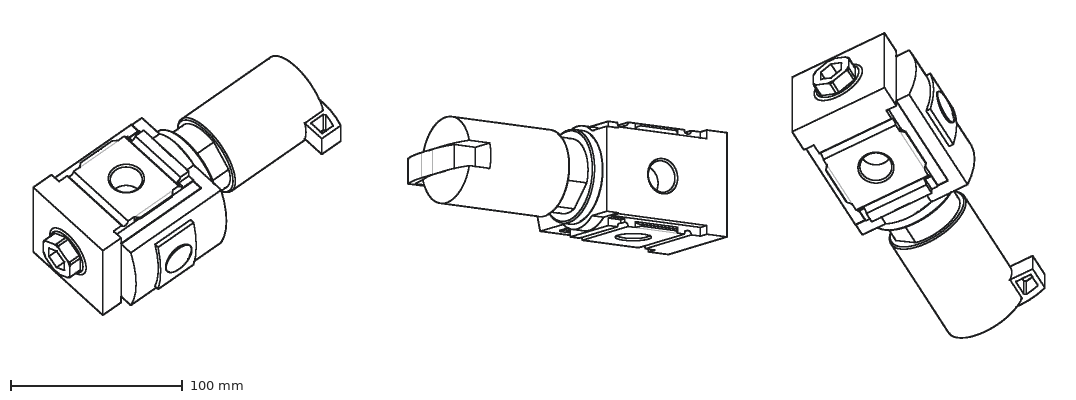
import cadquery as cq
import math


block_width = 61.6
block_height = 62.0
half_width = block_width / 2
half_height = block_height / 2
shelf_start_y = 14.1
pad_end_y = 76.0
rear_y = 84.0
port_y = 45.0
pad_half_width = 24.1
shelf_z = 25.8
plate_z = 25.3

port_diameter = 18.7
port_mouth_diameter = 21.0
port_chamfer = (port_mouth_diameter - port_diameter) / 2
port_depth = 18.8

groove_diameter = 4.7
groove_radius = groove_diameter / 2
groove_offset_y = 22.0
notch_width = 4.1
notch_floor_z = 26.5
lug_reach = 2.5
lug_root_length = 29.8
lug_tip_length = 24.5
lug_bottom_z = 27.5
lug_bend_z = 28.7
lug_tip_bottom_z = 29.2
lug_tip_top_z = 30.3

overall_width = 77.5
cover_edge_x = 39.4
cover_crown_x = 44.1
button_height = 40.3
button_length = 27.5
button_edge_x = 44.0
button_crown_x = 46.2
gauge_disc_diameter = 20.0
gauge_disc_x = overall_width - half_width

boss_width = 30.3
boss_crown_z = 30.5
collar_diameter = 55.0
collar_end_y = 91.5
collar_chamfer = 1.0
neck_diameter = 44.1
neck_flat_distance = 20.0
neck_flat_angle = 45.0

knob_diameter = 51.0
knob_radius = knob_diameter / 2
knob_start_y = 106.1
knob_chamfer = 1.0
knob_edge_y = 176.0
knob_crown_y = 179.6
crown_flat_diameter = 11.5
crown_flat_radius = crown_flat_diameter / 2
crown_run = knob_radius - crown_flat_radius
crown_drop = knob_crown_y - knob_edge_y
crown_radius = (crown_run**2 + crown_drop**2) / (2 * crown_drop)

slide_thickness = 15.0
slide_start_y = 161.7
slide_half_length = math.sqrt(knob_radius**2 - (slide_thickness / 2) ** 2)
slide_travel = 15.0
window_left_wall = 2.3
window_bottom_y = 164.5
window_roof = 4.1
window_right_wall = 2.8
window_corner_chamfer = 1.1

overall_length = 188.5
plug_front_y = knob_crown_y - overall_length
washer_base_diameter = 32.0
washer_top_diameter = 28.3
washer_height = 0.8
hex_flats = 23.5
hex_rounding_diameter = 26.2
hex_end_chamfer = 0.5
socket_flats = 13.5
socket_depth = 8.0


def box_between(x_range, y_range, z_range):
    """Box spanning the given (low, high) pairs."""
    sizes = [high - low for low, high in (x_range, y_range, z_range)]
    corner = (x_range[0], y_range[0], z_range[0])
    return cq.Workplane("XY").box(*sizes, centered=False).translate(corner)


def axial_plane(y):
    """Workplane normal to +Y at the given Y, with its local axes along X and -Z."""
    return cq.Workplane(cq.Plane(origin=(0, y, 0), xDir=(1, 0, 0), normal=(0, 1, 0)))


def axial_cylinder(diameter, y_start, y_end):
    return axial_plane(y_start).circle(diameter / 2).extrude(y_end - y_start)


def axial_hexagon(flats, y_start, y_end):
    """Hexagonal prism along Y with two flats facing -X and +X."""
    corners = flats / math.cos(math.radians(30))
    prism = axial_plane(y_start).polygon(6, corners).extrude(y_end - y_start)
    return prism.rotate((0, 0, 0), (0, 1, 0), 30)


def top_and_bottom(shape):
    return [shape, shape.mirror("XY")]


def crowned_bar(height, base_x, edge_x, crown_x, y_start, y_end):
    """Bar along Y standing out from base_x towards +X, with an arched outer face."""
    half = height / 2
    return (
        axial_plane(y_start)
        .moveTo(base_x, -half)
        .lineTo(edge_x, -half)
        .threePointArc((crown_x, 0), (edge_x, half))
        .lineTo(base_x, half)
        .close()
        .extrude(y_end - y_start)
    )


def make_lug():
    """Lug on the +X flank of the upper pad, with a hollow underside and tapered in plan."""
    root_x = pad_half_width
    tip_x = root_x + lug_reach
    profile = (
        cq.Workplane("XZ", origin=(0, port_y, 0))
        .moveTo(root_x, lug_bottom_z)
        .threePointArc((root_x + lug_reach / 3, lug_bend_z), (tip_x, lug_tip_bottom_z))
        .lineTo(tip_x, lug_tip_top_z)
        .lineTo(root_x, half_height)
        .close()
        .extrude(lug_root_length / 2, both=True)
    )
    plan = (
        cq.Workplane("XY")
        .polyline(
            [
                (root_x, port_y - lug_root_length / 2),
                (tip_x, port_y - lug_tip_length / 2),
                (tip_x, port_y + lug_tip_length / 2),
                (root_x, port_y + lug_root_length / 2),
            ]
        )
        .close()
        .extrude(half_height)
    )
    return profile.intersect(plan)


def make_block():
    full_x = (-half_width, half_width)
    full_z = (-half_height, half_height)
    pad = (-pad_half_width, pad_half_width)
    block = box_between(full_x, (0, shelf_start_y), full_z)
    block = block.union(box_between(full_x, (shelf_start_y, pad_end_y), (-shelf_z, shelf_z)))
    block = block.union(box_between(pad, (shelf_start_y, pad_end_y), full_z))
    block = block.union(box_between(full_x, (pad_end_y, rear_y), (-plate_z, plate_z)))

    groove_y = [port_y - groove_offset_y, port_y + groove_offset_y]
    for y in groove_y:
        groove = (
            cq.Workplane("YZ", origin=(-pad_half_width, y, half_height))
            .circle(groove_radius)
            .extrude(2 * pad_half_width)
        )
        for cutter in top_and_bottom(groove):
            block = block.cut(cutter)

    notch = box_between(
        (pad_half_width - notch_width, pad_half_width),
        (groove_y[1], pad_end_y),
        (notch_floor_z, half_height),
    )
    lug = make_lug()
    for side_notch in (notch, notch.mirror("YZ")):
        for cutter in top_and_bottom(side_notch):
            block = block.cut(cutter)
    for side_lug in (lug, lug.mirror("YZ")):
        for addition in top_and_bottom(side_lug):
            block = block.union(addition)
    return block


def make_port(face_height):
    """Cutter for a blind port with a chamfered mouth at Z = face_height."""
    bore_radius = port_diameter / 2
    return (
        cq.Workplane("XZ")
        .polyline(
            [
                (0, face_height),
                (bore_radius + port_chamfer, face_height),
                (bore_radius, face_height - port_chamfer),
                (bore_radius, face_height - port_depth),
                (0, face_height - port_depth),
            ]
        )
        .close()
        .revolve(360, (0, 0), (0, 1))
        .translate((0, port_y, 0))
    )


def cut_ports(block):
    """Ports on the top, -X and bottom faces."""
    for cutter in top_and_bottom(make_port(half_height)):
        block = block.cut(cutter)
    return block.cut(make_port(half_width).rotate((0, 0, 0), (0, 1, 0), -90))


def make_side_cover():
    cover = crowned_bar(2 * plate_z, half_width, cover_edge_x, cover_crown_x, shelf_start_y, rear_y)
    button = crowned_bar(
        button_height,
        half_width,
        button_edge_x,
        button_crown_x,
        port_y - button_length / 2,
        port_y + button_length / 2,
    )
    disc = (
        cq.Workplane("YZ", origin=(half_width, port_y, 0))
        .circle(gauge_disc_diameter / 2)
        .extrude(gauge_disc_x - half_width)
    )
    return cover.union(button).union(disc)


def make_collar_and_neck():
    boss_half = boss_width / 2
    boss = (
        axial_plane(pad_end_y)
        .moveTo(-boss_half, -plate_z)
        .threePointArc((0, -boss_crown_z), (boss_half, -plate_z))
        .lineTo(boss_half, plate_z)
        .threePointArc((0, boss_crown_z), (-boss_half, plate_z))
        .close()
        .extrude(rear_y - pad_end_y)
    )
    collar = axial_cylinder(collar_diameter, rear_y, collar_end_y).edges().chamfer(collar_chamfer)
    neck = axial_cylinder(neck_diameter, collar_end_y, knob_start_y)
    across_flats = box_between(
        (-neck_flat_distance, neck_flat_distance),
        (collar_end_y, knob_start_y),
        (-neck_diameter / 2, neck_diameter / 2),
    ).rotate((0, 0, 0), (0, 1, 0), -neck_flat_angle)
    return boss.union(collar).union(neck.intersect(across_flats))


def crown_y(distance, depth=0):
    """Y of the rounded end, or of a curve that depth below it, at a distance from its middle."""
    run = distance - crown_flat_radius
    return knob_crown_y - crown_radius + math.sqrt((crown_radius - depth) ** 2 - run**2)


def crown_middle(distance):
    """Point halfway along the rounded stretch that ends at the given distance."""
    middle = (crown_flat_radius + distance) / 2
    return (middle, crown_y(middle))


def make_knob():
    return (
        cq.Workplane("XY")
        .moveTo(0, knob_start_y)
        .lineTo(knob_radius - knob_chamfer, knob_start_y)
        .lineTo(knob_radius, knob_start_y + knob_chamfer)
        .lineTo(knob_radius, knob_edge_y)
        .threePointArc(crown_middle(knob_radius), (crown_flat_radius, knob_crown_y))
        .lineTo(0, knob_crown_y)
        .close()
        .revolve(360, (0, 0), (0, 1))
    )


def make_slide_slot():
    """Cutter for the slot that runs right across the rounded end of the knob."""
    return box_between(
        (-knob_radius, knob_radius),
        (slide_start_y, knob_crown_y),
        (-slide_thickness / 2, slide_thickness / 2),
    )


def make_plug():
    washer = (
        axial_plane(-washer_height)
        .circle(washer_top_diameter / 2)
        .workplane(offset=washer_height)
        .circle(washer_base_diameter / 2)
        .loft(ruled=True)
    )
    head = axial_hexagon(hex_flats, plug_front_y, 0)
    rounding = axial_cylinder(hex_rounding_diameter, plug_front_y, 0)
    head = head.intersect(rounding.faces("<Y").chamfer(hex_end_chamfer))
    socket = axial_hexagon(socket_flats, plug_front_y, plug_front_y + socket_depth)
    return washer.union(head).cut(socket)


def make_regulator():
    regulator = cut_ports(make_block())
    for piece in (make_side_cover(), make_collar_and_neck(), make_knob(), make_plug()):
        regulator = regulator.union(piece)
    return regulator.cut(make_slide_slot())


def make_slide():
    """Slide with the outline of the knob's rounded end, pulled out to bare its window."""
    half_plate = (
        cq.Workplane("XY", origin=(0, 0, -slide_thickness / 2))
        .moveTo(0, slide_start_y)
        .lineTo(slide_half_length, slide_start_y)
        .lineTo(slide_half_length, crown_y(slide_half_length))
        .threePointArc(crown_middle(slide_half_length), (crown_flat_radius, knob_crown_y))
        .lineTo(0, knob_crown_y)
        .close()
        .extrude(slide_thickness)
    )
    plate = half_plate.union(half_plate.mirror("YZ"))

    window_left = slide_half_length - slide_travel + window_left_wall
    window_right = slide_half_length - window_right_wall
    window_middle = (window_left + window_right) / 2
    window = (
        cq.Workplane("XY", origin=(0, 0, -slide_thickness / 2))
        .moveTo(window_left, window_bottom_y)
        .lineTo(window_right, window_bottom_y)
        .lineTo(window_right, crown_y(window_right, window_roof))
        .threePointArc(
            (window_middle, crown_y(window_middle, window_roof)),
            (window_left, crown_y(window_left, window_roof)),
        )
        .close()
        .extrude(slide_thickness)
        .edges("|Z and <X and >Y")
        .chamfer(window_corner_chamfer)
    )
    return plate.cut(window).translate((slide_travel, 0, 0))


regulator = make_regulator()
slide = make_slide()

result = cq.Compound.makeCompound([regulator.val(), slide.val()])